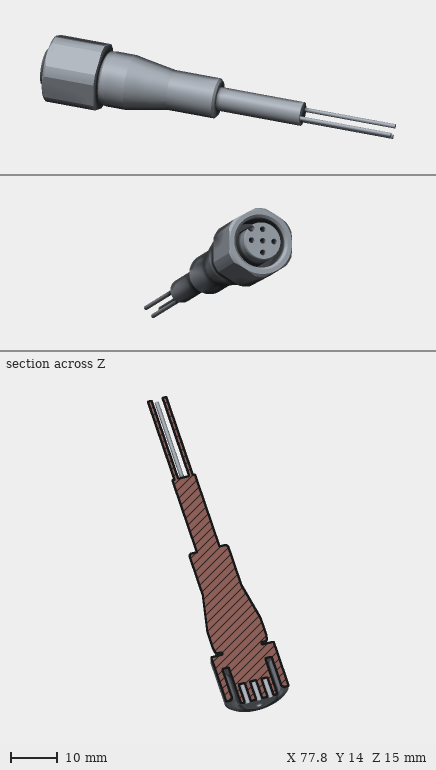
import cadquery as cq

total_length = 77.8

nut_start = 1.3
nut_end = 12.9
nut_across_flats = 14.0
nut_corner_radius = 7.51
nut_chamfer = 0.55
bore_radius = 5.45
bore_chamfer = 0.55
bore_floor = 9.3

insert_radius = 4.1
insert_chamfer_length = 0.5
insert_chamfer_depth = 0.195
contact_pitch_radius = 2.53
contact_hole_diameter = 1.25
contact_hole_depth = 4.7
key_offset = 2.6
key_radius = 0.7

neck_radius = 4.4
grip_start = 13.4
grip_nose_radius = 5.45
grip_nose_chamfer = 0.4
grip_shoulder = 14.9
grip_radius = 6.0
taper_start = 19.2
taper_end = 28.3
sleeve_radius = 4.35
grip_end = 38.9
sleeve_chamfer = 0.5

cable_radius = 2.6
cable_end = 57.6
wire_radius = 0.5
wire_offset = 1.6


def section(x, y=0, z=0):
    """Sketch plane across the part at x, facing +X: local axes are Y and Z."""
    return cq.Workplane("YZ", origin=(x, y, z))


def rod(start, end, radius, y=0, z=0):
    return section(start, y, z).circle(radius).extrude(end - start)


def revolve_about_x(profile):
    """Turn a closed (x, radius) profile about the X axis."""
    return cq.Workplane("XY").polyline(profile).close().revolve(360, (0, 0, 0), (1, 0, 0))


def make_nut():
    hexagon = (
        section(nut_start)
        .polygon(6, nut_across_flats, circumscribed=True)
        .extrude(nut_end - nut_start)
    )
    turned_corners = rod(nut_start, nut_end, nut_corner_radius).faces("<X").chamfer(nut_chamfer)
    bore = revolve_about_x([
        (nut_start, 0),
        (nut_start, bore_radius + bore_chamfer),
        (nut_start + bore_chamfer, bore_radius),
        (bore_floor, bore_radius),
        (bore_floor, 0),
    ])
    return hexagon.intersect(turned_corners).cut(bore)


def make_insert():
    insert = revolve_about_x([
        (0, 0),
        (0, insert_radius - insert_chamfer_depth),
        (insert_chamfer_length, insert_radius),
        (nut_end, insert_radius),
        (nut_end, 0),
    ])
    contacts = [(0, 0)]
    for side in (-1, 1):
        contacts += [(side * contact_pitch_radius, 0), (0, side * contact_pitch_radius)]
    contact_holes = (
        section(0).pushPoints(contacts).circle(contact_hole_diameter / 2).extrude(contact_hole_depth)
    )
    keyway = rod(0, bore_floor, key_radius, key_offset, key_offset)
    return insert.cut(contact_holes).cut(keyway)


def make_grip():
    return revolve_about_x([
        (nut_end, 0),
        (nut_end, neck_radius),
        (grip_start, neck_radius),
        (grip_start, grip_nose_radius),
        (grip_start + grip_nose_chamfer, grip_nose_radius + grip_nose_chamfer),
        (grip_shoulder, grip_radius),
        (taper_start, grip_radius),
        (taper_end, sleeve_radius),
        (grip_end - sleeve_chamfer, sleeve_radius),
        (grip_end, sleeve_radius - sleeve_chamfer),
        (grip_end, 0),
    ])


result = make_nut().union(make_insert()).union(make_grip())
result = result.union(rod(grip_end, cable_end, cable_radius))

for wire_y, wire_z in ((wire_offset, 0), (-wire_offset, 0), (0, -wire_offset)):
    result = result.union(rod(cable_end, total_length, wire_radius, wire_y, wire_z))